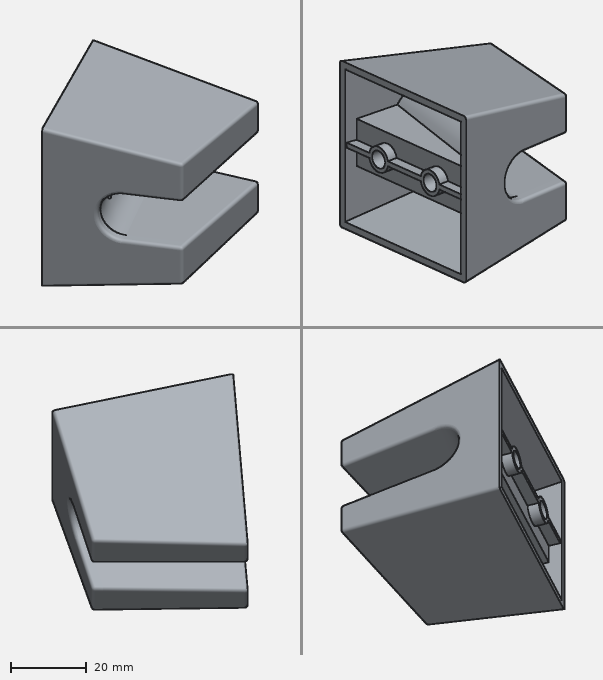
import cadquery as cq
import math

rim_y = 49.2
rim_z = 48.4
wall = 2.0
edge_radius = 1.0
plus_y_lean = 8.6
minus_y_lean = 2.9
z_lean = 8.6
end_lean = 13.5
end_x = 38.1

slot_radius = 7.0
slot_center_x = 22.0
slot_lip = 3.0
slot_flare = 0.7

saddle_radius = 13.5
saddle_x = 23.1

block_x = 3.65
block_height = 13.7
block_draft = 3.5
rib_x = 0.5
rib_thickness = 1.5
boss_radius = 3.7
hole_radius = 2.5
boss_pitch = 20.0

reach = 2 * rim_y


def slope(degrees):
    return math.tan(math.radians(degrees))


def thickness_along_axis(thickness, degrees):
    """Distance along an axis across a wall that leans away from square by `degrees`."""
    return thickness / math.cos(math.radians(degrees))


def wedge(inset):
    """Solid hull with all sides except the rim moved inwards by `inset`."""
    low_y = -rim_y / 2 + thickness_along_axis(inset, minus_y_lean)
    high_y = rim_y / 2 - thickness_along_axis(inset, plus_y_lean)
    half_z = rim_z / 2 - thickness_along_axis(inset, z_lean)

    outer_corner_y = -rim_y / 2 + slope(minus_y_lean) * end_x
    end_middle = end_x - slope(end_lean) * outer_corner_y - thickness_along_axis(inset, end_lean)

    def end_corner(start_y, side_slope):
        y = (start_y + side_slope * end_middle) / (1 - side_slope * slope(end_lean))
        return (end_middle + slope(end_lean) * y, y)

    plan = (
        cq.Workplane("XY")
        .moveTo(0, low_y)
        .lineTo(*end_corner(low_y, slope(minus_y_lean)))
        .lineTo(*end_corner(high_y, -slope(plus_y_lean)))
        .lineTo(0, high_y)
        .close()
        .extrude(reach, both=True)
    )
    far_half_z = half_z - slope(z_lean) * reach
    profile = (
        cq.Workplane("XZ")
        .polyline([(0, -half_z), (reach, -far_half_z), (reach, far_half_z), (0, half_z)])
        .close()
        .extrude(reach, both=True)
    )
    return plan.intersect(profile)


def u_outline(workplane, radius, center_x):
    """U-shaped outline, round towards the rim and open-ended far beyond the end face."""
    return (
        workplane.moveTo(reach, radius)
        .lineTo(center_x, radius)
        .threePointArc((center_x - radius, 0), (center_x, -radius))
        .lineTo(reach, -radius)
        .close()
    )


def slot_cutter():
    """Straight slot, flared beyond the lip along the -Y side."""
    straight = u_outline(cq.Workplane("XZ"), slot_radius, slot_center_x).extrude(reach, both=True)
    angle = math.radians(minus_y_lean)
    lip_plane = cq.Plane(
        origin=(0, -rim_y / 2 + thickness_along_axis(slot_lip, minus_y_lean), 0),
        xDir=(math.cos(angle), math.sin(angle), 0),
        normal=(-math.sin(angle), math.cos(angle), 0),
    )
    flared = u_outline(cq.Workplane(lip_plane), slot_radius, slot_center_x)
    return straight.union(flared.extrude(rim_y, taper=-slot_flare))


def round_slot_mouth(body):
    """Rounds the edges where the slot breaks through the outer faces."""
    slot_limit = slot_radius + slope(slot_flare) * rim_y

    def beside_slot(shape):
        box = shape.BoundingBox()
        return max(box.zmax, -box.zmin) < slot_limit

    outer_faces = body.faces().filter(lambda face: not beside_slot(face))
    return body.newObject(outer_faces.edges().filter(beside_slot).vals()).fillet(edge_radius)


def make_saddle():
    saddle = u_outline(cq.Workplane("XZ"), saddle_radius, saddle_x).extrude(reach, both=True)
    return saddle.rotate((saddle_x, 0, 0), (saddle_x, 0, 1), -end_lean)


def make_block():
    front = block_height / 2
    back = front + slope(block_draft) * (saddle_x - block_x)
    return (
        cq.Workplane("XZ")
        .polyline([(block_x, -front), (saddle_x, -back), (saddle_x, back), (block_x, front)])
        .close()
        .extrude(reach, both=True)
    )


def make_rib():
    length = saddle_x - rib_x
    return cq.Workplane("XY").box(length, reach, rib_thickness).translate((rib_x + length / 2, 0, 0))


def boss_cylinders(radius, start_x):
    return (
        cq.Workplane("YZ", origin=(start_x, 0, 0))
        .rarray(boss_pitch, 0.5, 2, 1)
        .circle(radius)
        .extrude(saddle_x - start_x)
    )


hull = wedge(0).faces("not <X").edges("not <X").fillet(edge_radius)
hull = round_slot_mouth(hull.cut(slot_cutter()))

filling = make_saddle().union(make_block()).union(make_rib())
filling = filling.union(boss_cylinders(boss_radius, rib_x))
hollow = wedge(wall).cut(filling)

result = hull.cut(hollow).cut(boss_cylinders(hole_radius, 0))